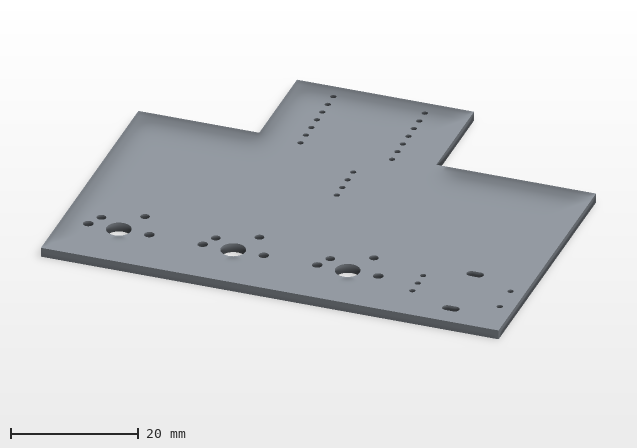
import cadquery as cq

BOARD_WIDTH = 76.0
BOARD_HEIGHT = 62.6
THICKNESS = 1.6
SHOULDER_Y = 45.15
TAB_LEFT = 20.1
TAB_WIDTH = 29.4
TAB_RIGHT = TAB_LEFT + TAB_WIDTH

PIN_DIAMETER = 1.0

HEADER_PIN_COUNT = 7
HEADER_ROW_LENGTH = 15.2
PIN_PITCH = HEADER_ROW_LENGTH / (HEADER_PIN_COUNT - 1)
HEADER_ROW_SPACING = 15.2
HEADER_BOTTOM_Y = 44.4
TAB_CENTER_X = TAB_LEFT + TAB_WIDTH / 2

SHORT_HEADER_PIN_COUNT = 4
SHORT_HEADER_BOTTOM_Y = 31.0

SWITCH_COUNT = 3
SWITCH_PITCH = 19.0
FIRST_SWITCH_X = SWITCH_PITCH / 2
COMPONENT_Y = 9.6
SWITCH_CENTER_DIAMETER = 4.0
PEG_DIAMETER = 1.7
PEG_OFFSET = 2 * PIN_PITCH
CONTACT_DIAMETER = 1.5
CONTACT_OFFSETS = [(-1.5 * PIN_PITCH, PIN_PITCH), (PIN_PITCH, 2 * PIN_PITCH)]

ENCODER_X = 66.65
ENCODER_LEFT_PIN_OFFSET = 7.5
ENCODER_RIGHT_PIN_OFFSET = 7.0
ENCODER_PIN_PITCH = 2.5
SLOT_OFFSET_Y = 5.6
SLOT_LENGTH = 2.8
SLOT_WIDTH = 1.5


def pin_column(x, bottom_y, count):
    """Centres of a vertical row of header pins."""
    return [(x, bottom_y + i * PIN_PITCH) for i in range(count)]


def drill(board, centers, diameter):
    """Cut through holes at the given centres."""
    cutter = cq.Workplane("XY").pushPoints(centers).circle(diameter / 2).extrude(THICKNESS)
    return board.cut(cutter)


def make_board():
    outline = [
        (0, 0),
        (BOARD_WIDTH, 0),
        (BOARD_WIDTH, SHOULDER_Y),
        (TAB_RIGHT, SHOULDER_Y),
        (TAB_RIGHT, BOARD_HEIGHT),
        (TAB_LEFT, BOARD_HEIGHT),
        (TAB_LEFT, SHOULDER_Y),
        (0, SHOULDER_Y),
    ]
    return cq.Workplane("XY").polyline(outline).close().extrude(THICKNESS)


def cut_headers(board):
    for side in (-1, 1):
        x = TAB_CENTER_X + side * HEADER_ROW_SPACING / 2
        board = drill(board, pin_column(x, HEADER_BOTTOM_Y, HEADER_PIN_COUNT), PIN_DIAMETER)
    short_row = pin_column(BOARD_WIDTH / 2, SHORT_HEADER_BOTTOM_Y, SHORT_HEADER_PIN_COUNT)
    return drill(board, short_row, PIN_DIAMETER)


def cut_switch(board, x):
    pegs = [(x + side * PEG_OFFSET, COMPONENT_Y) for side in (-1, 1)]
    contacts = [(x + dx, COMPONENT_Y + dy) for dx, dy in CONTACT_OFFSETS]
    board = drill(board, [(x, COMPONENT_Y)], SWITCH_CENTER_DIAMETER)
    board = drill(board, pegs, PEG_DIAMETER)
    return drill(board, contacts, CONTACT_DIAMETER)


def cut_encoder(board):
    left_x = ENCODER_X - ENCODER_LEFT_PIN_OFFSET
    right_x = ENCODER_X + ENCODER_RIGHT_PIN_OFFSET
    pins = [(left_x, COMPONENT_Y + step * ENCODER_PIN_PITCH) for step in (-1, 0, 1)]
    pins += [(right_x, COMPONENT_Y + step * ENCODER_PIN_PITCH) for step in (-1, 1)]
    board = drill(board, pins, PIN_DIAMETER)
    slot_centers = [(ENCODER_X, COMPONENT_Y + side * SLOT_OFFSET_Y) for side in (-1, 1)]
    slots = cq.Workplane("XY").pushPoints(slot_centers).slot2D(SLOT_LENGTH, SLOT_WIDTH).extrude(THICKNESS)
    return board.cut(slots)


result = cut_headers(make_board())
for index in range(SWITCH_COUNT):
    result = cut_switch(result, FIRST_SWITCH_X + index * SWITCH_PITCH)
result = cut_encoder(result)